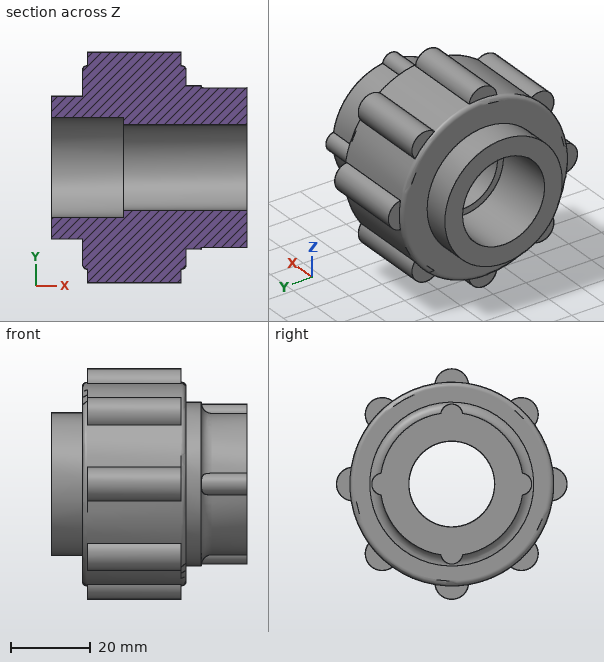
import cadquery as cq

nut_start = 7.75
nut_length = 26.0
nut_end = nut_start + nut_length
collar_end = 37.5
total_length = 49.0

spigot_radius = 17.9
nut_radius = 25.5
nut_edge_radius = 1.25
collar_radius = 20.5
tail_radius = spigot_radius
tail_root_radius = collar_radius - tail_radius

grip_count = 8
grip_radius = 4.25
grip_outer_reach = 28.85
grip_start = nut_start + nut_edge_radius
grip_length = nut_length - 2 * nut_edge_radius

tail_rib_count = 4
tail_rib_radius = 2.75
tail_rib_outer_reach = 20.0

socket_radius = 12.5
socket_depth = 18.0
bore_radius = 10.7


def cylinder(radius, start, end):
    """Cylinder on the X axis between two axial positions."""
    return cq.Workplane("YZ").workplane(offset=start).circle(radius).extrude(end - start)


def ring_of_rods(count, radius, outer_reach, start, length):
    """Round rods parallel to X, evenly spaced so they reach the given distance from the axis."""
    return (
        cq.Workplane("YZ")
        .workplane(offset=start)
        .polarArray(outer_reach - radius, startAngle=0, angle=360, count=count)
        .circle(radius)
        .extrude(length)
    )


def make_nut():
    body = cylinder(nut_radius, nut_start, nut_end).edges("%CIRCLE").fillet(nut_edge_radius)
    grips = ring_of_rods(grip_count, grip_radius, grip_outer_reach, grip_start, grip_length)
    return body.union(grips)


def make_tail():
    """Collar and tail joined by a concave quarter-round, with ribs along the tail."""
    root_end = collar_end + tail_root_radius
    body = (
        cq.Workplane("XY")
        .moveTo(nut_end, 0)
        .lineTo(nut_end, collar_radius)
        .lineTo(collar_end, collar_radius)
        .radiusArc((root_end, tail_radius), -tail_root_radius)
        .lineTo(total_length, tail_radius)
        .lineTo(total_length, 0)
        .close()
        .revolve(360, (0, 0, 0), (1, 0, 0))
    )
    ribs = ring_of_rods(
        tail_rib_count, tail_rib_radius, tail_rib_outer_reach, collar_end, total_length - collar_end
    )
    return body.union(ribs)


def make_bore():
    socket = cylinder(socket_radius, 0, socket_depth)
    return socket.union(cylinder(bore_radius, 0, total_length))


spigot = cylinder(spigot_radius, 0, nut_start)
result = spigot.union(make_nut()).union(make_tail()).cut(make_bore())